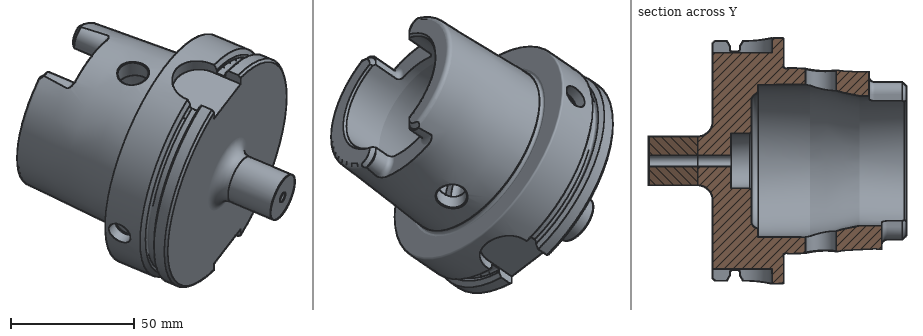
import cadquery as cq
import math

AXIS_START = (0, 0, 0)
AXIS_END = (1, 0, 0)
TOTAL_LENGTH = 104.9
CLEARANCE = 52.5

TAIL_X = -49.8
TAPER_END_X = -2.4
TAPER_END_RADIUS = 37.9
TAPER_SLOPE = 0.05
TAPER_LENGTH = TAPER_END_X - TAIL_X
TAIL_RADIUS = TAPER_END_RADIUS - TAPER_SLOPE * TAPER_LENGTH
TAIL_ROUND = 1.8

RELIEF_EDGE_X = -1.7
RELIEF_FLOOR_X = -1.4
RELIEF_RADIUS = 37.7
RELIEF_ROUND = 0.9
FACE_RECESS_DEPTH = 0.2
FACE_RECESS_RADIUS = 39.4

FLANGE_RADIUS = 100.0 / 2
FLANGE_END_X = 29.1
FLANGE_FACE_ROUND = 0.7
FLANGE_END_CHAMFER = 1.0
GROOVE_X = 19.9
GROOVE_MOUTH_WIDTH = 6.5
GROOVE_FLANK_DEPTH = 2.2
GROOVE_FLANK_ANGLE = 30
GROOVE_FLANK_RUN = GROOVE_FLANK_DEPTH * math.tan(math.radians(GROOVE_FLANK_ANGLE))
GROOVE_FLOOR_RADIUS = 45.8
GROOVE_FLOOR_ROUND = 0.7
GROOVE_MOUTH_START_X = GROOVE_X - GROOVE_MOUTH_WIDTH / 2
GROOVE_MOUTH_END_X = GROOVE_X + GROOVE_MOUTH_WIDTH / 2
GROOVE_FLOOR_START_X = GROOVE_MOUTH_START_X + GROOVE_FLANK_RUN
GROOVE_FLOOR_END_X = GROOVE_MOUTH_END_X - GROOVE_FLANK_RUN

SPIGOT_RADIUS = 10.0
NECK_ROUND = 6.0
NECK_END_X = FLANGE_END_X + NECK_ROUND
DISC_THICKNESS = 0.3
DISC_END_X = TAIL_X + TOTAL_LENGTH
SPIGOT_END_X = DISC_END_X - DISC_THICKNESS

BORE_RADIUS = 26.3
BORE_MOUTH_CHAMFER = 0.9
BORE_END_X = -30.7
CAVITY_RADIUS = 30.9
CAVITY_START_X = -10.6
BORE_FLOOR_X = 13.1
BORE_FLOOR_RADIUS = 24.8
BORE_FLOOR_ROUND = 2.6
RECESS_RADIUS = BORE_FLOOR_RADIUS + BORE_FLOOR_ROUND
CAVITY_END_X = BORE_FLOOR_X - BORE_FLOOR_ROUND

SOCKET_RADIUS = 11.1
SOCKET_CHAMFER = 0.7
SOCKET_DEPTH = 8.4
SOCKET_END_X = BORE_FLOOR_X + SOCKET_DEPTH
COOLANT_RADIUS = 2.2

DRIVE_SLOT_WIDTH = 19.7
DRIVE_SLOT_TOP_DEPTH = 15.2
DRIVE_SLOT_BOTTOM_DEPTH = 10.1
DRIVE_SLOT_SHOULDER_Z = 32.1
DRIVE_SLOT_LIP_ROUND = 5.0
DRIVE_SLOT_FLOOR_ROUND = 2.1
DRIVE_SLOT_END_CHAMFER = 1.8

CROSS_HOLE_X = -15.0
CROSS_HOLE_RADIUS = 6.2
CROSS_HOLE_CHAMFER = 0.37

KEY_SLOT_WIDTH = 21.8
KEY_SLOT_START_X = 4.9
KEY_SLOT_FLOOR_Z = 44.0

SIDE_HOLE_X = 7.1
SIDE_HOLE_RADIUS = 5.0
SIDE_HOLE_DEPTH = 5.2
SIDE_HOLE_FLOOR_CHAMFER = 0.3

QUARTER_ARC_MIDDLE = math.sqrt(0.5)


def half_turn(shape):
    """The shape turned from the top of the part to the bottom."""
    return shape.rotate(AXIS_START, AXIS_END, 180)


def revolve_about_axis(half_section):
    return half_section.close().revolve(360, AXIS_START, AXIS_END)


def rim_edges(body, x, radius):
    """Circular edges of this radius around the axis, at this place along it."""
    tolerance = 0.01
    return [
        edge
        for edge in body.edges("%CIRCLE").vals()
        if abs(edge.Center().x - x) < tolerance and abs(edge.radius() - radius) < tolerance
    ]


def turned_blank():
    """Taper, relief, flange with its groove, and neck, still without holes."""
    relief_arc_x = FACE_RECESS_DEPTH - RELIEF_ROUND
    relief_arc_radius = RELIEF_RADIUS + RELIEF_ROUND
    neck_arc_radius = SPIGOT_RADIUS + NECK_ROUND
    blank = revolve_about_axis(
        cq.Workplane("XY")
        .moveTo(TAIL_X, 0)
        .lineTo(TAIL_X, TAIL_RADIUS)
        .lineTo(TAPER_END_X, TAPER_END_RADIUS)
        .lineTo(RELIEF_EDGE_X, TAPER_END_RADIUS)
        .lineTo(RELIEF_FLOOR_X, RELIEF_RADIUS)
        .lineTo(relief_arc_x, RELIEF_RADIUS)
        .threePointArc(
            (
                relief_arc_x + RELIEF_ROUND * QUARTER_ARC_MIDDLE,
                relief_arc_radius - RELIEF_ROUND * QUARTER_ARC_MIDDLE,
            ),
            (FACE_RECESS_DEPTH, relief_arc_radius),
        )
        .lineTo(0, FACE_RECESS_RADIUS)
        .lineTo(0, FLANGE_RADIUS)
        .lineTo(GROOVE_MOUTH_START_X, FLANGE_RADIUS)
        .lineTo(GROOVE_FLOOR_START_X, FLANGE_RADIUS - GROOVE_FLANK_DEPTH)
        .lineTo(GROOVE_FLOOR_START_X, GROOVE_FLOOR_RADIUS)
        .lineTo(GROOVE_FLOOR_END_X, GROOVE_FLOOR_RADIUS)
        .lineTo(GROOVE_FLOOR_END_X, FLANGE_RADIUS - GROOVE_FLANK_DEPTH)
        .lineTo(GROOVE_MOUTH_END_X, FLANGE_RADIUS)
        .lineTo(FLANGE_END_X, FLANGE_RADIUS)
        .lineTo(FLANGE_END_X, neck_arc_radius)
        .threePointArc(
            (
                NECK_END_X - NECK_ROUND * QUARTER_ARC_MIDDLE,
                neck_arc_radius - NECK_ROUND * QUARTER_ARC_MIDDLE,
            ),
            (NECK_END_X, SPIGOT_RADIUS),
        )
        .lineTo(NECK_END_X, 0)
    )
    blank = blank.newObject(rim_edges(blank, TAIL_X, TAIL_RADIUS)).fillet(TAIL_ROUND)
    blank = blank.newObject(rim_edges(blank, 0, FLANGE_RADIUS)).fillet(FLANGE_FACE_ROUND)
    blank = blank.newObject(rim_edges(blank, FLANGE_END_X, FLANGE_RADIUS)).chamfer(FLANGE_END_CHAMFER)
    for x in (GROOVE_FLOOR_START_X, GROOVE_FLOOR_END_X):
        blank = blank.newObject(rim_edges(blank, x, GROOVE_FLOOR_RADIUS)).fillet(GROOVE_FLOOR_ROUND)
    return blank


def bore_cutter():
    """Bore, undercut cavity, rounded floor, socket and coolant channel as one turned shape."""
    floor_corner = BORE_FLOOR_ROUND * (1 - QUARTER_ARC_MIDDLE)
    return revolve_about_axis(
        cq.Workplane("XY")
        .moveTo(TAIL_X, 0)
        .lineTo(TAIL_X, BORE_RADIUS + BORE_MOUTH_CHAMFER)
        .lineTo(TAIL_X + BORE_MOUTH_CHAMFER, BORE_RADIUS)
        .lineTo(BORE_END_X, BORE_RADIUS)
        .lineTo(CAVITY_START_X, CAVITY_RADIUS)
        .lineTo(CAVITY_END_X, CAVITY_RADIUS)
        .lineTo(CAVITY_END_X, RECESS_RADIUS)
        .threePointArc(
            (BORE_FLOOR_X - floor_corner, RECESS_RADIUS - floor_corner),
            (BORE_FLOOR_X, BORE_FLOOR_RADIUS),
        )
        .lineTo(BORE_FLOOR_X, SOCKET_RADIUS + SOCKET_CHAMFER)
        .lineTo(BORE_FLOOR_X + SOCKET_CHAMFER, SOCKET_RADIUS)
        .lineTo(SOCKET_END_X, SOCKET_RADIUS)
        .lineTo(SOCKET_END_X, COOLANT_RADIUS)
        .lineTo(NECK_END_X, COOLANT_RADIUS)
        .lineTo(NECK_END_X, 0)
    )


def drive_slot_outline(growth):
    """T-shaped slot outline with lugs rounded at the lip; growth widens the slot on every side."""
    half_width = DRIVE_SLOT_WIDTH / 2 + growth
    shoulder_z = DRIVE_SLOT_SHOULDER_Z - growth
    lip_end_y = half_width + DRIVE_SLOT_LIP_ROUND
    lip_start_z = shoulder_z - DRIVE_SLOT_LIP_ROUND
    lip_corner = DRIVE_SLOT_LIP_ROUND * (1 - QUARTER_ARC_MIDDLE)
    return (
        cq.Workplane("YZ", origin=(TAIL_X, 0, 0))
        .moveTo(-half_width, 0)
        .lineTo(half_width, 0)
        .lineTo(half_width, lip_start_z)
        .threePointArc((half_width + lip_corner, shoulder_z - lip_corner), (lip_end_y, shoulder_z))
        .lineTo(CLEARANCE, shoulder_z)
        .lineTo(CLEARANCE, CLEARANCE)
        .lineTo(-CLEARANCE, CLEARANCE)
        .lineTo(-CLEARANCE, shoulder_z)
        .lineTo(-lip_end_y, shoulder_z)
        .threePointArc((-half_width - lip_corner, shoulder_z - lip_corner), (-half_width, lip_start_z))
        .close()
    )


def drive_slot_cutter(depth):
    """Slot at the top of the shank, with a rounded floor edge and a chamfered entry."""
    slot = drive_slot_outline(0).extrude(depth).faces(">X").edges().fillet(DRIVE_SLOT_FLOOR_ROUND)
    entry = drive_slot_outline(DRIVE_SLOT_END_CHAMFER).extrude(DRIVE_SLOT_END_CHAMFER, taper=45)
    return slot.union(entry)


def cut_cross_hole(body):
    """Drill through both walls along Z and chamfer the two outer rims."""
    drill = cq.Workplane("XY").center(CROSS_HOLE_X, 0).circle(CROSS_HOLE_RADIUS)
    body = body.cut(drill.extrude(CLEARANCE, both=True))
    reach = CROSS_HOLE_RADIUS
    rim_z = (CAVITY_RADIUS + TAPER_END_RADIUS) / 2
    for low_z, high_z in ((rim_z, CLEARANCE), (-CLEARANCE, -rim_z)):
        near_rim = cq.selectors.BoxSelector(
            (CROSS_HOLE_X - reach, -reach, low_z), (CROSS_HOLE_X + reach, reach, high_z)
        )
        body = body.edges(near_rim).chamfer(CROSS_HOLE_CHAMFER)
    return body


def key_slot_cutter():
    """Round-ended slot at the top of the flange, open at the flange end."""
    half_width = KEY_SLOT_WIDTH / 2
    arc_x = KEY_SLOT_START_X + half_width
    return (
        cq.Workplane("XY", origin=(0, 0, KEY_SLOT_FLOOR_Z))
        .moveTo(arc_x, -half_width)
        .threePointArc((KEY_SLOT_START_X, 0), (arc_x, half_width))
        .lineTo(CLEARANCE, half_width)
        .lineTo(CLEARANCE, -half_width)
        .close()
        .extrude(CLEARANCE)
    )


def side_hole_cutter():
    """Blind hole from the -Y side with a chamfered floor edge."""
    return (
        cq.Workplane("XZ", origin=(SIDE_HOLE_X, SIDE_HOLE_DEPTH - FLANGE_RADIUS, 0))
        .circle(SIDE_HOLE_RADIUS)
        .extrude(CLEARANCE)
        .faces(">Y")
        .chamfer(SIDE_HOLE_FLOOR_CHAMFER)
    )


def make_holder():
    body = turned_blank()
    body = body.cut(drive_slot_cutter(DRIVE_SLOT_TOP_DEPTH))
    body = body.cut(half_turn(drive_slot_cutter(DRIVE_SLOT_BOTTOM_DEPTH)))
    body = body.cut(bore_cutter())
    body = cut_cross_hole(body)
    body = body.cut(key_slot_cutter())
    body = body.cut(half_turn(key_slot_cutter()))
    return body.cut(side_hole_cutter())


def make_spigot_length(start_x, end_x):
    """Round bar of the spigot diameter with the coolant channel through it."""
    return (
        cq.Workplane("YZ", origin=(start_x, 0, 0))
        .circle(SPIGOT_RADIUS)
        .circle(COOLANT_RADIUS)
        .extrude(end_x - start_x)
    )


holder = make_holder()
spigot = make_spigot_length(NECK_END_X, SPIGOT_END_X)
end_disc = make_spigot_length(SPIGOT_END_X, DISC_END_X)

result = cq.Compound.makeCompound([holder.val(), spigot.val(), end_disc.val()])